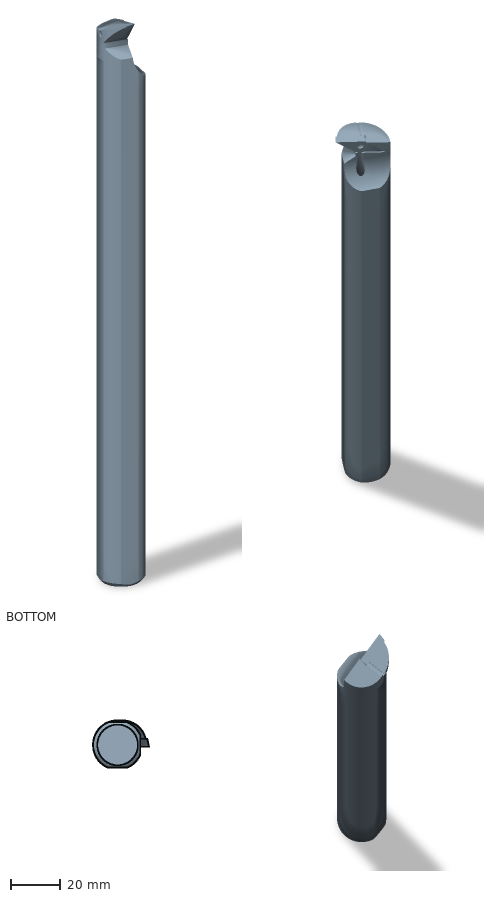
import cadquery as cq
import math

total_length = 251.2
shank_radius = 10.0
flat_distance = 9.3
front_flat_top = 233.0
side_flat_top = 238.7
tail_chamfer = 2.0
tail_chamfer_width = 1.8

lobe_shift = 1.8
lobe_bottom = 241.2
ramp_face_y = 1.3
ramp_radius = 12.5
ramp_tangent_z = 236.0
back_top_z = 244.5
step_width = 1.5
relief_slope = 0.2

tip_x = 12.8
insert_edge = 13.0
insert_top_angle = 15.5
insert_corner_angle = 35.0
insert_face_y = 0.8
insert_thickness = 3.3
insert_hole_diameter = 2.5

notch_height = 2.5
notch_end_z = 234.7

coolant_diameter = 3.5
coolant_x = 2.8
coolant_floor_z = 216.0

tip = (tip_x, total_length)


def from_tip(fall_angle, length):
    """Point at the given length from the tip, falling towards -X."""
    angle = math.radians(fall_angle)
    return (tip[0] - length * math.cos(angle), tip[1] - length * math.sin(angle))


upper_corner = from_tip(insert_top_angle, insert_edge)
lower_corner = from_tip(insert_top_angle + insert_corner_angle, insert_edge)
far_corner = (upper_corner[0] + lower_corner[0] - tip[0], upper_corner[1] + lower_corner[1] - tip[1])
insert_centre = ((tip[0] + far_corner[0]) / 2, (tip[1] + far_corner[1]) / 2)
clear = 2 * shank_radius
coolant_y = insert_face_y + coolant_diameter / 2


def prism(points, start_y, depth):
    """Outline in XZ, extruded from start_y towards -Y."""
    return cq.Workplane("XZ", origin=(0, start_y, 0)).polyline(points).close().extrude(depth)


def relief_cutter(edge):
    """Everything above a top edge that falls towards -Y from the insert face."""
    rise = clear * relief_slope
    above = [(edge[-1][0], total_length + clear), (edge[0][0], total_length + clear)]
    points = [cq.Vector(x, insert_face_y + clear, z + rise) for x, z in edge + above]
    outline = cq.Wire.makePolygon(points, close=True)
    fall = cq.Vector(0, -2 * clear, -2 * rise)
    return cq.Workplane(obj=cq.Solid.extrudeLinear(outline, [], fall))


def make_bar():
    """Round bar with the tapered tail, and the head lobe."""
    bar = (
        cq.Workplane("XZ")
        .moveTo(0, 0)
        .lineTo(shank_radius - tail_chamfer_width, 0)
        .lineTo(shank_radius, tail_chamfer)
        .lineTo(shank_radius, total_length)
        .lineTo(0, total_length)
        .close()
        .revolve(360, (0, 0), (0, 1))
    )
    lobe = (
        cq.Workplane("XY", origin=(lobe_shift, 0, lobe_bottom))
        .circle(shank_radius)
        .extrude(total_length - lobe_bottom)
    )
    return bar.union(lobe)


def flat_cutter(side_angle, top):
    """Box outside one shank flat; side_angle turns it from the +X side."""
    box = cq.Workplane("XY").box(clear, 2 * clear, top, centered=(False, True, False))
    return box.translate((flat_distance, 0, 0)).rotate((0, 0, 0), (0, 0, 1), side_angle)


def ramp_cutter():
    """Clears the +Y side of the head and runs out through a concave arc."""
    arc_centre_y = ramp_face_y + ramp_radius

    def arc_point(angle):
        turn = math.radians(angle)
        return (arc_centre_y - ramp_radius * math.cos(turn), ramp_tangent_z - ramp_radius * math.sin(turn))

    return (
        cq.Workplane("YZ", origin=(-clear, 0, 0))
        .moveTo(ramp_face_y, total_length)
        .lineTo(ramp_face_y, ramp_tangent_z)
        .threePointArc(arc_point(45), arc_point(90))
        .lineTo(arc_centre_y, total_length)
        .close()
        .extrude(2 * clear)
    )


def head_top_cutter():
    """Slopes behind and under the insert, with the level strip between them."""
    strip_x, strip_z = upper_corner
    slope = math.tan(math.radians(insert_top_angle))
    strip_end_x = strip_x + step_width
    return relief_cutter(
        [
            (-shank_radius, back_top_z),
            upper_corner,
            (strip_end_x, strip_z),
            (strip_end_x, strip_z + step_width * slope),
            tip,
        ]
    )


def notch_cutter():
    """Opening under the insert, on the tip side of the head."""
    wall_foot = (lower_corner[0], lower_corner[1] - notch_height)
    lower_end = (flat_distance, notch_end_z)
    outside = [(clear, notch_end_z), (clear, total_length)]
    return prism([tip, lower_corner, wall_foot, lower_end] + outside, clear, 2 * clear)


def insert_hole():
    return (
        cq.Workplane("XZ", origin=(0, clear, 0))
        .center(*insert_centre)
        .circle(insert_hole_diameter / 2)
        .extrude(2 * clear)
    )


def insert_blank():
    """Rhombus plate before its top edge is relieved."""
    return prism([tip, upper_corner, far_corner, lower_corner], insert_face_y, insert_thickness)


def insert_pocket():
    """Seat for the insert, open above its upper edge and towards +Y."""
    above_tip = (tip[0], tip[1] + clear)
    above_corner = (upper_corner[0], upper_corner[1] + clear)
    outline = [tip, above_tip, above_corner, upper_corner, far_corner, lower_corner]
    return prism(outline, insert_face_y + clear, insert_thickness + clear)


def coolant_bore():
    return (
        cq.Workplane("XY", origin=(coolant_x, coolant_y, coolant_floor_z))
        .circle(coolant_diameter / 2)
        .extrude(total_length - coolant_floor_z)
    )


def make_holder():
    holder = make_bar()
    for side_angle, top in [(0, side_flat_top), (90, total_length), (-90, front_flat_top)]:
        holder = holder.cut(flat_cutter(side_angle, top))
    cutters = [
        ramp_cutter(),
        head_top_cutter(),
        notch_cutter(),
        insert_pocket(),
        insert_hole(),
        coolant_bore(),
    ]
    for cutter in cutters:
        holder = holder.cut(cutter)
    return holder


def make_insert():
    return insert_blank().cut(relief_cutter([upper_corner, tip])).cut(insert_hole())


holder = make_holder()
insert = make_insert()
result = cq.Compound.makeCompound([holder.val(), insert.val()])